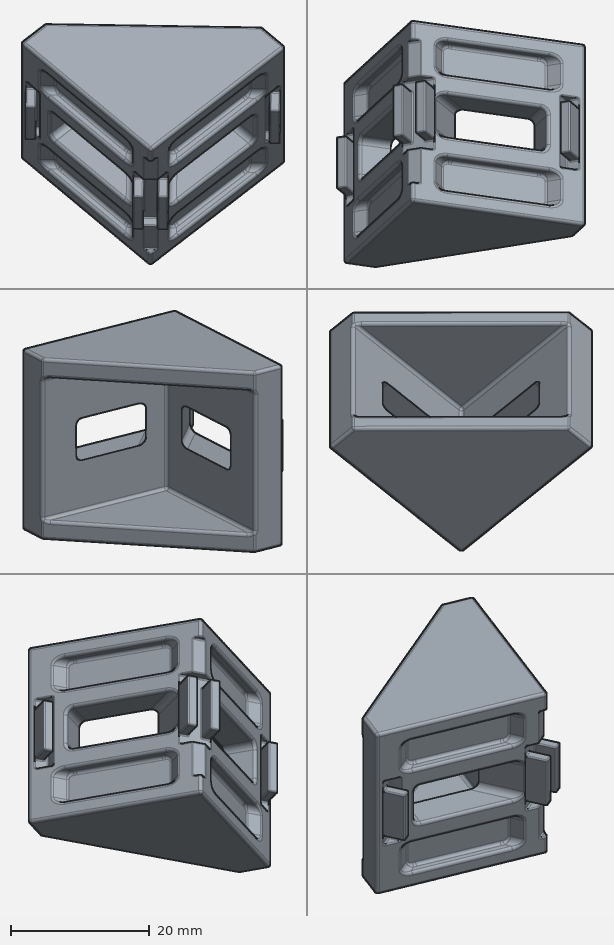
import cadquery as cq
import math


leg_length = 27.0
height = 28.0
leg_thickness = 5.0
web_thickness = 3.0
edge_radius = 0.5

near_margin = 3.7
pocket_far_margin = 3.8
pocket_depth = 1.7
pocket_height = 5.2
pocket_edge_margin = 2.5
slot_far_margin = 6.05
slot_height = 6.5
wall_corner_radius = 1.0

relief_chamfer = 1.47
relief_height = 22.0
seat_chamfer = 3.58
seat_height = 11.02
groove_far_margin = 1.08
groove_depth = 1.5
small_radius = 0.2

clip_height = 7.92
clip_thickness = 1.5
clip_overhang = 2.32
clip_root_depth = 0.3

overlap = 1.47
slack = 0.03


def prism(points, z_size, z_middle=0):
    """Upright prism over an outline in the XY plane, centred on z_middle."""
    base = cq.Workplane("XY", origin=(0, 0, z_middle - z_size / 2))
    return base.polyline(points).close().extrude(z_size)


def mirrored(shape):
    """The same shape on the other mounting face: (x, y) becomes (-y, -x)."""
    return shape.mirror((1, 1, 0), (0, 0, 0))


def edges_in_box(shape, x_range, y_range, z_half):
    """Edges centred in a box over the given X and Y ranges and symmetric about z = 0."""
    low = (x_range[0] - slack, y_range[0] - slack, -z_half - slack)
    high = (x_range[1] + slack, y_range[1] + slack, z_half + slack)
    return shape.edges(cq.selectors.BoxSelector(low, high))


def make_body():
    """Triangular block with blunt leg ends, hollowed from its slanted side, all edges rounded."""
    block = prism(
        [
            (0, 0),
            (-leg_length, 0),
            (-leg_length, leg_thickness),
            (-leg_thickness, leg_length),
            (0, leg_length),
        ],
        height,
    )
    inner = leg_thickness
    outer = leg_length + overlap
    cavity_height = height - 2 * web_thickness
    cavity = prism([(-inner, inner), (-outer, inner), (-outer, outer), (-inner, outer)], cavity_height)
    corners = edges_in_box(cavity, (-leg_length, -inner), (inner, leg_length), cavity_height / 2)
    cavity = corners.fillet(edge_radius)
    body = block.cut(cavity)
    outer_faces = body.faces("<X or >X or <Y or >Y or <Z or >Z or <(1,-1,0)")
    return outer_faces.edges().fillet(edge_radius)


def with_rounded_rim(cutter):
    """The cutter widened at the face y = 0, so that the opening it cuts has a rounded rim."""
    depth = leg_thickness + overlap
    slab = prism([(0, 0), (-leg_length, 0), (-leg_length, depth), (0, depth)], height)
    opened = slab.cut(cutter)
    rim = edges_in_box(
        opened,
        (-leg_length + edge_radius, -edge_radius),
        (0, 0),
        height / 2 - edge_radius,
    )
    return slab.cut(rim.fillet(edge_radius))


def make_pocket(z_middle):
    """Cutter for a blind pocket with both end walls sloping in at 45 degrees."""
    near = -near_margin
    far = pocket_far_margin - leg_length
    cutter = prism(
        [
            (far - overlap, -overlap),
            (far + pocket_depth, pocket_depth),
            (near - pocket_depth, pocket_depth),
            (near + overlap, -overlap),
        ],
        pocket_height,
        z_middle,
    )
    cutter = cutter.edges("not(|X or |Z)").fillet(wall_corner_radius)
    cutter = cutter.faces(">Y").edges().fillet(edge_radius)
    return with_rounded_rim(cutter)


def make_slot():
    """Cutter for the through slot: square far end, near end sloping at 45 degrees."""
    near = -near_margin
    far = slot_far_margin - leg_length
    depth = leg_thickness + overlap
    cutter = prism(
        [(far, -overlap), (far, depth), (near - depth, depth), (near + overlap, -overlap)],
        slot_height,
    )
    cutter = cutter.edges("not(|X or |Z)").fillet(wall_corner_radius)
    return with_rounded_rim(cutter)


def make_corner_chamfer(size, z_size):
    """Cutter that chamfers the mounting corner over part of the height."""
    outer = size + overlap
    return prism([(-outer, -overlap), (overlap, -overlap), (overlap, outer)], z_size)


def make_groove():
    """Cutter for the 90 degree V groove that seats the clip at the leg end."""
    bottom = groove_far_margin + groove_depth - leg_length
    spread = groove_depth + overlap
    outline = [(bottom - spread, -overlap), (bottom, groove_depth), (bottom + spread, -overlap)]
    return prism(outline, seat_height)


def cut_seats(body):
    """Cut the corner relief, the corner seats and the grooves, and round all their edges."""
    body = body.cut(make_corner_chamfer(relief_chamfer, relief_height))
    body = body.cut(make_corner_chamfer(seat_chamfer, seat_height))
    corner = edges_in_box(body, (-seat_chamfer, 0), (0, seat_chamfer), relief_height / 2)
    body = corner.fillet(small_radius)

    groove = make_groove()
    body = body.cut(groove).cut(mirrored(groove))
    start = groove_far_margin - leg_length
    along_leg = (start, start + 2 * groove_depth)
    into_leg = (0, groove_depth)
    body = edges_in_box(body, along_leg, into_leg, seat_height / 2).fillet(small_radius)
    along_leg = (-along_leg[1], -along_leg[0])
    into_leg = (-groove_depth, 0)
    return edges_in_box(body, into_leg, along_leg, seat_height / 2).fillet(small_radius)


def make_clip(x_start):
    """Rounded clip standing on a 45 degree seat, its outer side flush with the seat edge at x_start."""
    clip_length = math.sqrt(2) * (clip_overhang + small_radius * (math.sqrt(2) - 1))
    margin = 2 * small_radius

    blade = cq.Workplane("XY").rect(clip_thickness, clip_height).extrude(clip_length)
    blade = blade.edges("not <Z").fillet(small_radius)
    base = cq.Workplane("XY").rect(clip_thickness + 2 * margin, clip_height + 2 * margin)
    clip = base.extrude(-clip_root_depth).union(blade)
    root = edges_in_box(
        clip, (-clip_thickness / 2, clip_thickness / 2), (-clip_height / 2, clip_height / 2), 0
    )
    clip = root.fillet(small_radius)

    outer_side = cq.Workplane("XY").box(2 * margin, 2 * clip_height, 4 * clip_length)
    clip = clip.cut(outer_side.translate((-clip_thickness / 2 - margin, 0, 0)))

    seat = cq.Plane(origin=(x_start, 0, 0), xDir=(1, 1, 0), normal=(1, -1, 0))
    clip = clip.translate((clip_thickness / 2, 0, 0))
    return cq.Workplane(clip.val().moved(cq.Location(seat)))


def add_clips(body):
    """Join a clip to each corner seat and each groove."""
    for x_start in (-seat_chamfer, groove_far_margin - leg_length):
        clip = make_clip(x_start)
        body = body.union(clip).union(mirrored(clip))
    return body


def cut_openings(body):
    """Cut the through slot and the pockets above and below it into both mounting faces."""
    pocket_middle = (height - pocket_height) / 2 - pocket_edge_margin
    for cutter in (make_slot(), make_pocket(pocket_middle), make_pocket(-pocket_middle)):
        body = body.cut(cutter).cut(mirrored(cutter))
    return body


result = add_clips(cut_openings(cut_seats(make_body())))